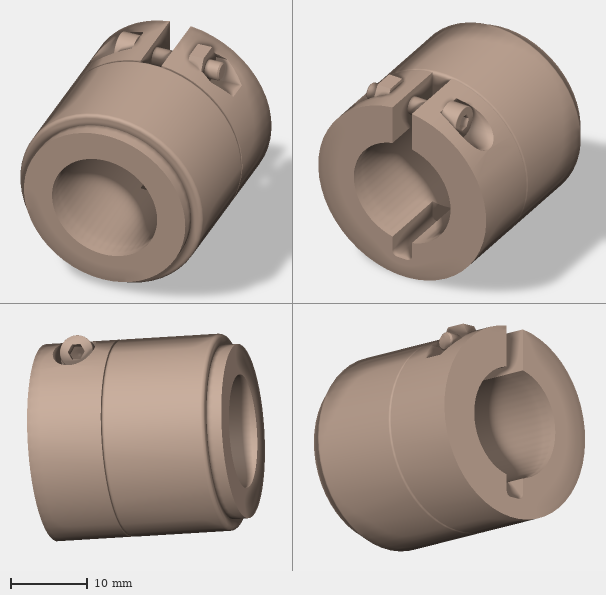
import cadquery as cq
import math

OVERALL_LENGTH = 26.0
OUTER_RADIUS = 13.0
SLEEVE_RADIUS = 11.5
BORE_RADIUS = 7.5
COLLAR_LENGTH = 10.0
COLLAR_FRONT = OVERALL_LENGTH - COLLAR_LENGTH

SLOT_WIDTH = 3.0
SLOT_FLOOR_HEIGHT = -(OUTER_RADIUS + BORE_RADIUS) / 2
SLOT_CORNER_RADIUS = 0.75

RING_FRONT = 2.0
RING_LENGTH = COLLAR_FRONT - RING_FRONT
RING_EDGE_RADIUS = 0.5

NUT_FLATS = 5.0
NUT_THICKNESS = 2.0
SCREW_Y = OVERALL_LENGTH - COLLAR_LENGTH / 2
SCREW_Z = OUTER_RADIUS - NUT_FLATS / 2
SEAT_OFFSET = 4.0
SHANK_DIAMETER = 2.5
SHANK_END = 8.0
SHANK_CHAMFER = 0.2
HEAD_DIAMETER = 4.5
HEAD_HEIGHT = 2.5
HEAD_EDGE_RADIUS = 0.1
HEAD_RECESS_DIAMETER = 5.5
SOCKET_FLATS = 2.0
SOCKET_DEPTH = 1.25
SOCKET_CONE_HEIGHT = 0.65


def corner_diameter(across_flats):
    """Diameter through the corners of a regular hexagon."""
    return across_flats / math.cos(math.pi / 6)


def plane_along_x(x):
    """Sketch plane centred on the screw axis, facing +X; its local x is +Y."""
    return cq.Workplane("YZ", origin=(x, SCREW_Y, SCREW_Z))


def plane_along_y(y):
    """Sketch plane centred on the hub axis, with its extrusions running toward +Y."""
    return cq.Workplane(cq.Plane(origin=(0, y, 0), xDir=(1, 0, 0), normal=(0, 1, 0)))


def make_slot_cutter():
    height = OUTER_RADIUS - SLOT_FLOOR_HEIGHT
    return (
        cq.Workplane("XY", origin=(0, SCREW_Y, SLOT_FLOOR_HEIGHT))
        .box(SLOT_WIDTH, COLLAR_LENGTH, height, centered=(True, True, False))
        .edges("|Y and <Z")
        .fillet(SLOT_CORNER_RADIUS)
    )


def make_hub():
    sleeve = plane_along_y(0).circle(SLEEVE_RADIUS).extrude(OVERALL_LENGTH)
    collar = plane_along_y(COLLAR_FRONT).circle(OUTER_RADIUS).extrude(COLLAR_LENGTH)
    bore = plane_along_y(0).circle(BORE_RADIUS).extrude(OVERALL_LENGTH)
    shank_hole = plane_along_x(-SEAT_OFFSET).circle(SHANK_DIAMETER / 2).extrude(2 * SEAT_OFFSET)
    head_recess = plane_along_x(-SEAT_OFFSET).circle(HEAD_RECESS_DIAMETER / 2).extrude(-OUTER_RADIUS)
    nut_pocket = plane_along_x(SEAT_OFFSET).polygon(6, corner_diameter(NUT_FLATS)).extrude(OUTER_RADIUS)
    hub = sleeve.union(collar).cut(bore).cut(make_slot_cutter())
    return hub.cut(shank_hole).cut(head_recess).cut(nut_pocket)


def make_ring():
    return (
        plane_along_y(RING_FRONT)
        .circle(OUTER_RADIUS)
        .extrude(RING_LENGTH)
        .edges()
        .fillet(RING_EDGE_RADIUS)
        .cut(plane_along_y(RING_FRONT).circle(SLEEVE_RADIUS).extrude(RING_LENGTH))
    )


def make_socket_cutter(head_end):
    """Hexagonal prism with a conical bottom that is as wide as the prism's corners."""
    corner_radius = corner_diameter(SOCKET_FLATS) / 2
    prism_depth = SOCKET_DEPTH + SOCKET_CONE_HEIGHT
    prism = plane_along_x(head_end).polygon(6, 2 * corner_radius).extrude(prism_depth)
    envelope = (
        cq.Workplane("XY", origin=(head_end, SCREW_Y, SCREW_Z))
        .polyline([(0, 0), (prism_depth, 0), (SOCKET_DEPTH, corner_radius), (0, corner_radius)])
        .close()
        .revolve(360, (0, 0, 0), (1, 0, 0))
    )
    return prism.intersect(envelope)


def make_screw():
    head_end = -SEAT_OFFSET - HEAD_HEIGHT
    head = (
        plane_along_x(head_end)
        .circle(HEAD_DIAMETER / 2)
        .extrude(HEAD_HEIGHT)
        .faces("<X")
        .edges()
        .fillet(HEAD_EDGE_RADIUS)
    )
    shank = (
        plane_along_x(-SEAT_OFFSET)
        .circle(SHANK_DIAMETER / 2)
        .extrude(SHANK_END + SEAT_OFFSET)
        .faces(">X")
        .edges()
        .chamfer(SHANK_CHAMFER)
    )
    return head.union(shank).cut(make_socket_cutter(head_end))


def make_nut():
    return (
        plane_along_x(SEAT_OFFSET)
        .polygon(6, corner_diameter(NUT_FLATS))
        .circle(SHANK_DIAMETER / 2)
        .extrude(NUT_THICKNESS)
    )


hub = make_hub()
ring = make_ring()
screw = make_screw()
nut = make_nut()

result = cq.Compound.makeCompound([hub.val(), ring.val(), screw.val(), nut.val()])